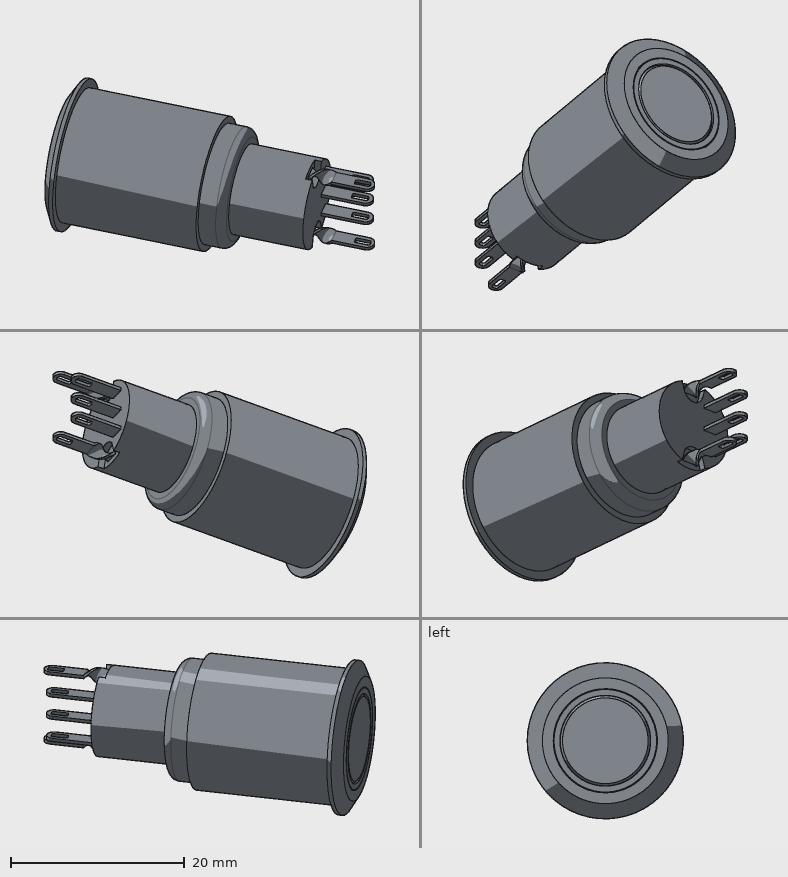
import cadquery as cq
import math


overall_length = 37.5
flange_diameter = 18.0
flange_cone_length = 1.0
flange_cone_angle = 60.0
flange_thickness = 1.5
barrel_diameter = 15.9
barrel_end = 18.5
collar_diameter = 14.3
collar_end = 21.6
collar_fillet = 1.0
boss_diameter = 10.7
boss_end = 30.55

pocket_diameter = 12.0
pocket_depth = 1.5
ring_outer_diameter = 11.8
ring_inner_diameter = 10.45
button_diameter = 10.4
button_chamfer = 0.25

terminal_width = 1.8
terminal_thickness = 0.4
slot_width = 0.8
slot_corner_radius = 0.22

side_terminal_tip = 36.55
side_terminal_offset_y = 2.5
side_terminal_pitch = 2.8
side_slot_length = 2.0
side_slot_tip_margin = 0.55

twisted_terminal_offset_z = 4.4
twisted_slot_length = 1.88
twisted_slot_tip_margin = 0.45
twist_length = 2.85
twist_angle = -180.0

recess_depth = 0.8
recess_floor_radius = 1.5
recess_wall_slope = 17.0


def disc(diameter, start, end):
    """Solid cylinder on the X axis between two stations."""
    return cq.Workplane("YZ").workplane(offset=start).circle(diameter / 2).extrude(end - start)


def make_flange():
    face_radius = flange_diameter / 2 - flange_cone_length * math.tan(math.radians(flange_cone_angle))
    profile = [
        (0, 0),
        (0, face_radius),
        (flange_cone_length, flange_diameter / 2),
        (flange_thickness, flange_diameter / 2),
        (flange_thickness, 0),
    ]
    return cq.Workplane("XY").polyline(profile).close().revolve(360, (0, 0, 0), (1, 0, 0))


def flat_terminal(start, tip, slot_length, slot_tip_margin):
    """Flat strip along X, centred on the axis, with a round tip and a rounded slot."""
    length = tip - start
    half_width = terminal_width / 2
    round_start = length - half_width
    strip = (
        cq.Workplane("XY")
        .moveTo(0, -half_width)
        .lineTo(round_start, -half_width)
        .threePointArc((length, 0), (round_start, half_width))
        .lineTo(0, half_width)
        .close()
        .extrude(terminal_thickness / 2, both=True)
    )
    slot = (
        cq.Workplane("XY")
        .center(length - slot_tip_margin - slot_length / 2, 0)
        .rect(slot_length, slot_width)
        .extrude(terminal_thickness, both=True)
        .edges("|Z")
        .fillet(slot_corner_radius)
    )
    return strip.cut(slot).translate((start, 0, 0))


def twisted_terminal():
    """Strip that makes a half turn at its root and then runs flat to a slotted tip."""
    root = boss_end - recess_depth
    twist_end = root + twist_length
    twist = (
        cq.Workplane("YZ")
        .workplane(offset=root)
        .rect(terminal_width, terminal_thickness)
        .twistExtrude(twist_length, twist_angle)
    )
    blade = flat_terminal(twist_end, overall_length, twisted_slot_length, twisted_slot_tip_margin)
    return twist.union(blade)


def make_recess():
    """Cutter for the upper recess: a round floor about the terminal and tangent walls that spread outward."""
    slope = math.radians(recess_wall_slope)
    floor_half_width = recess_floor_radius * math.cos(slope)
    wall_foot_z = twisted_terminal_offset_z - recess_floor_radius * math.sin(slope)
    lowest_z = twisted_terminal_offset_z - recess_floor_radius
    top_z = boss_diameter / 2
    top_half_width = floor_half_width + (top_z - wall_foot_z) * math.tan(slope)
    return (
        cq.Workplane("YZ")
        .workplane(offset=boss_end - recess_depth)
        .moveTo(-top_half_width, top_z)
        .lineTo(-floor_half_width, wall_foot_z)
        .threePointArc((0, lowest_z), (floor_half_width, wall_foot_z))
        .lineTo(top_half_width, top_z)
        .close()
        .extrude(recess_depth)
    )


def make_housing():
    collar = disc(collar_diameter, barrel_end, collar_end).faces(">X").edges().fillet(collar_fillet)
    housing = (
        make_flange()
        .union(disc(barrel_diameter, flange_thickness, barrel_end))
        .union(collar)
        .union(disc(boss_diameter, collar_end, boss_end))
        .cut(disc(pocket_diameter, 0, pocket_depth))
    )

    recess = make_recess()
    housing = housing.cut(recess).cut(recess.mirror("XY"))
    for side in (-1, 1):
        position = (0, 0, side * twisted_terminal_offset_z)
        housing = housing.union(twisted_terminal().translate(position))

    side_terminal = flat_terminal(boss_end, side_terminal_tip, side_slot_length, side_slot_tip_margin)
    for row in (-1, 0, 1):
        position = (0, side_terminal_offset_y, row * side_terminal_pitch)
        housing = housing.union(side_terminal.translate(position))
    return housing


def make_ring():
    return disc(ring_outer_diameter, 0, pocket_depth).cut(disc(ring_inner_diameter, 0, pocket_depth))


def make_button():
    return disc(button_diameter, 0, pocket_depth).faces("<X").chamfer(button_chamfer)


housing = make_housing()
ring = make_ring()
button = make_button()

result = cq.Compound.makeCompound([housing.val(), ring.val(), button.val()])